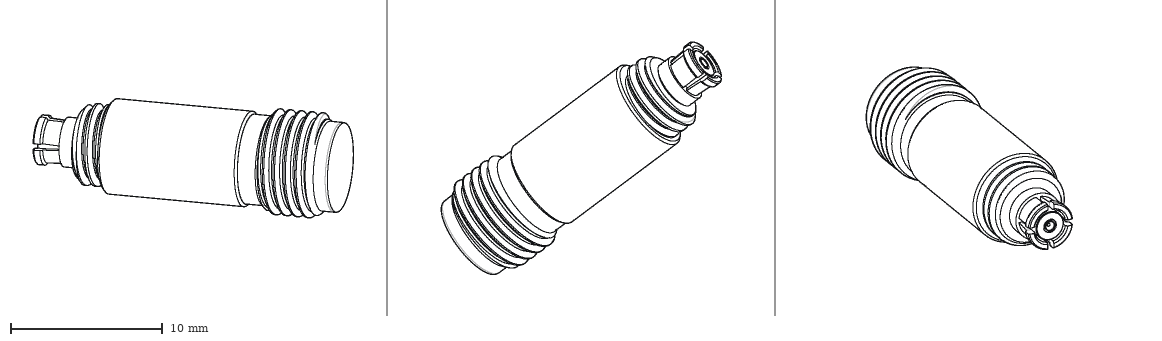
import cadquery as cq
import math


overall_length = 20.7
neck_start = 0.65
collar_start = 1.82
collar_end = 2.73
small_thread_start = 2.88
body_start = 4.89
body_end = 14.51
large_thread_start = 15.73
large_thread_end = 19.73

lip_radius = 1.65
neck_front_radius = 1.5
neck_rear_radius = 1.43
collar_radius = 1.65
undercut_radius = 1.45
body_radius = 3.17
barrel_radius = 2.98

lip_front_chamfer = 0.08
lip_straight_end = 0.5
body_chamfer = 0.17
end_chamfer_length = 0.15
end_chamfer_depth = 0.02

pitch = 0.75
flank_angle = math.radians(30)
small_face_radius = 2.28
small_root_radius = 2.32
small_crest_radius = 2.73
small_crest_flat = 0.17
small_crest_station = 3.45
large_root_radius = 3.1
large_crest_radius = 3.5
large_crest_flat = 0.1
large_crest_station = 16.62
ridge_overlap = 0.02
envelope_clearance = 0.1

socket_radius = 1.15
socket_mouth_radius = 1.28
socket_mouth_depth = 0.12
slot_front_width = 0.43
slot_rear_width = 0.31
slot_angles = (0, 90)

insulator_radius = 1.01
insulator_front = 0.12
insulator_chamfer = 0.052
contact_recess_radius = 0.465
contact_recess_depth = 0.12
contact_radius = 0.342
contact_mouth_radius = 0.31
contact_hole_radius = 0.1
contact_mouth_depth = 0.2
contact_hole_depth = 1.04


def revolve_profile(points):
    """Revolve a closed (x, radius) outline about the X axis."""
    return cq.Workplane("XY").polyline(points).close().revolve(360, (0, 0), (1, 0))


def cylinder(start, end, radius):
    return cq.Workplane("YZ", origin=(start, 0, 0)).circle(radius).extrude(end - start)


def thread_ridge(start, end, crest_station, root_radius, crest_radius, crest_flat):
    """Helical ridge reaching past start and end, with a crest on the -Z side at crest_station."""
    turns_before = math.ceil((crest_station - start) / pitch) + 1
    turns_after = math.ceil((end - crest_station) / pitch) + 1
    first_crest = crest_station - turns_before * pitch
    height = (turns_before + turns_after) * pitch

    inner_radius = root_radius - ridge_overlap
    half_crest = crest_flat / 2
    half_base = half_crest + (crest_radius - inner_radius) * math.tan(flank_angle)
    helix = cq.Workplane(obj=cq.Wire.makeHelix(pitch, height, root_radius))
    ridge = (
        cq.Workplane("XZ")
        .polyline([
            (inner_radius, -half_base),
            (crest_radius, -half_crest),
            (crest_radius, half_crest),
            (inner_radius, half_base),
        ])
        .close()
        .sweep(helix, isFrenet=True)
    )
    return ridge.rotate((0, 0, 0), (0, 1, 0), 90).translate((first_crest, 0, 0))


def threaded_rod(start, end, crest_station, root_radius, crest_radius, crest_flat):
    """Threaded bar longer than start..end, to be trimmed to its final outline."""
    ridge = thread_ridge(start, end, crest_station, root_radius, crest_radius, crest_flat)
    core = cylinder(start - 2 * pitch, end + 2 * pitch, root_radius)
    return core.union(ridge)


def socket_turning():
    """Lip, neck, collar and undercut, running on as a core inside the small thread."""
    return revolve_profile([
        (0, 0),
        (0, lip_radius - lip_front_chamfer),
        (lip_front_chamfer, lip_radius),
        (lip_straight_end, lip_radius),
        (neck_start, neck_front_radius),
        (collar_start, neck_rear_radius),
        (collar_start, collar_radius),
        (collar_end, collar_radius),
        (collar_end, undercut_radius),
        (body_start, undercut_radius),
        (body_start, 0),
    ])


def body():
    return cylinder(body_start, body_end, body_radius).edges().chamfer(body_chamfer)


def small_thread():
    """Thread running from a bevelled front face into the body shoulder."""
    envelope_radius = small_crest_radius + envelope_clearance
    bevel = envelope_radius - small_face_radius
    embedded_end = body_start + body_chamfer
    outline = revolve_profile([
        (small_thread_start, 0),
        (small_thread_start, small_face_radius),
        (small_thread_start + bevel, envelope_radius),
        (embedded_end, envelope_radius),
        (embedded_end, 0),
    ])
    rod = threaded_rod(small_thread_start, body_start, small_crest_station,
                       small_root_radius, small_crest_radius, small_crest_flat)
    return rod.intersect(outline)


def threaded_barrel():
    """Plain barrel behind the body, with a thread bevelled at 45 degrees at both ends."""
    envelope_radius = large_crest_radius + envelope_clearance
    bevel = envelope_radius - barrel_radius
    embedded_start = body_end - body_chamfer
    outline = revolve_profile([
        (embedded_start, 0),
        (embedded_start, barrel_radius),
        (large_thread_start, barrel_radius),
        (large_thread_start + bevel, envelope_radius),
        (large_thread_end - bevel, envelope_radius),
        (large_thread_end, barrel_radius),
        (overall_length - end_chamfer_length, barrel_radius),
        (overall_length, barrel_radius - end_chamfer_depth),
        (overall_length, 0),
    ])
    rod = threaded_rod(embedded_start, overall_length, large_crest_station,
                       large_root_radius, large_crest_radius, large_crest_flat)
    return rod.intersect(outline)


def socket_cavity():
    """Bore inside the fingers, with a conical mouth."""
    return revolve_profile([
        (0, 0),
        (0, socket_mouth_radius),
        (socket_mouth_depth, socket_radius),
        (collar_start, socket_radius),
        (collar_start, 0),
    ])


def finger_slot(angle):
    """Slot across the full diameter, straight through the lip and narrowing to the collar."""
    slot = (
        cq.Workplane("XY")
        .polyline([
            (0, -slot_front_width / 2),
            (neck_start, -slot_front_width / 2),
            (collar_start, -slot_rear_width / 2),
            (collar_start, slot_rear_width / 2),
            (neck_start, slot_front_width / 2),
            (0, slot_front_width / 2),
        ])
        .close()
        .extrude(lip_radius * 2, both=True)
    )
    return slot.rotate((0, 0, 0), (1, 0, 0), angle)


def insulator():
    """Insulator with the recessed, countersunk centre contact."""
    block = cylinder(insulator_front, collar_start, insulator_radius)
    block = block.faces("<X").chamfer(insulator_chamfer)
    recess_end = insulator_front + contact_recess_depth
    recess = cylinder(insulator_front, recess_end, contact_recess_radius)
    contact = cylinder(insulator_front, recess_end, contact_radius)
    contact_hole = revolve_profile([
        (insulator_front, 0),
        (insulator_front, contact_mouth_radius),
        (insulator_front + contact_mouth_depth, contact_hole_radius),
        (insulator_front + contact_hole_depth, contact_hole_radius),
        (insulator_front + contact_hole_depth, 0),
    ])
    return block.cut(recess).union(contact).cut(contact_hole)


result = socket_turning().cut(socket_cavity())
for slot_angle in slot_angles:
    result = result.cut(finger_slot(slot_angle))
result = result.union(insulator())
result = result.union(small_thread())
result = result.union(body())
result = result.union(threaded_barrel())